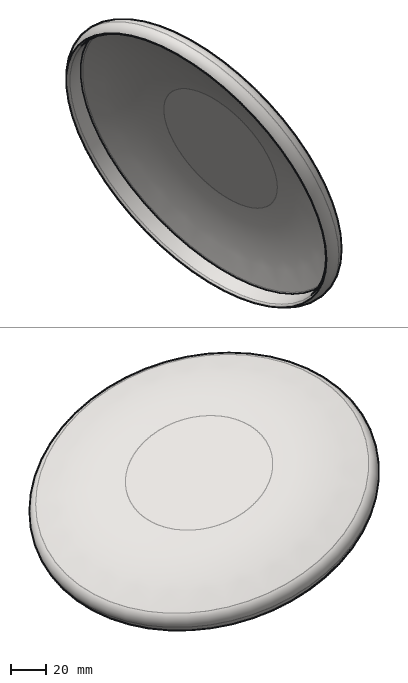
import cadquery as cq
import math

outer_radius = 101.5
height = 23.4
crown_radius = 42.9
dome_arc_radius = 154.5
rim_arc_radius = 7.3
thickness = 2.5
opening_radius = 97.0
lip_round_radius = 1.5
lip_edge_radius = opening_radius + lip_round_radius

rim_center_radius = outer_radius - rim_arc_radius
dome_center_height = height - dome_arc_radius
center_distance = dome_arc_radius - rim_arc_radius
dome_angle = math.asin((rim_center_radius - crown_radius) / center_distance)
rim_center_height = dome_center_height + center_distance * math.cos(dome_angle)


def dome_point(arc_radius, angle):
    """Profile point on a dome arc, with the angle measured from the disc axis."""
    return (
        crown_radius + arc_radius * math.sin(angle),
        dome_center_height + arc_radius * math.cos(angle),
    )


def rim_point(arc_radius, angle):
    """Profile point on a rim arc, with the angle measured from the disc axis."""
    return (
        rim_center_radius + arc_radius * math.sin(angle),
        rim_center_height + arc_radius * math.cos(angle),
    )


inner_dome_radius = dome_arc_radius - thickness
inner_rim_radius = rim_arc_radius - thickness
wall_angle = math.asin((opening_radius - rim_center_radius) / inner_rim_radius)
outer_rim_mid_angle = (dome_angle + math.pi / 2) / 2
inner_rim_mid_angle = (dome_angle + wall_angle) / 2

profile = (
    cq.Workplane("XY")
    .moveTo(0, height)
    .lineTo(crown_radius, height)
    .threePointArc(dome_point(dome_arc_radius, dome_angle / 2), dome_point(dome_arc_radius, dome_angle))
    .threePointArc(rim_point(rim_arc_radius, outer_rim_mid_angle), (outer_radius, rim_center_height))
    .tangentArcPoint((lip_edge_radius, 0), relative=False)
    .radiusArc((opening_radius, lip_round_radius), lip_round_radius)
    .lineTo(*rim_point(inner_rim_radius, wall_angle))
    .threePointArc(
        rim_point(inner_rim_radius, inner_rim_mid_angle),
        rim_point(inner_rim_radius, dome_angle),
    )
    .threePointArc(
        dome_point(inner_dome_radius, dome_angle / 2),
        (crown_radius, height - thickness),
    )
    .lineTo(0, height - thickness)
    .close()
)

result = profile.revolve(360, (0, 0, 0), (0, 1, 0))